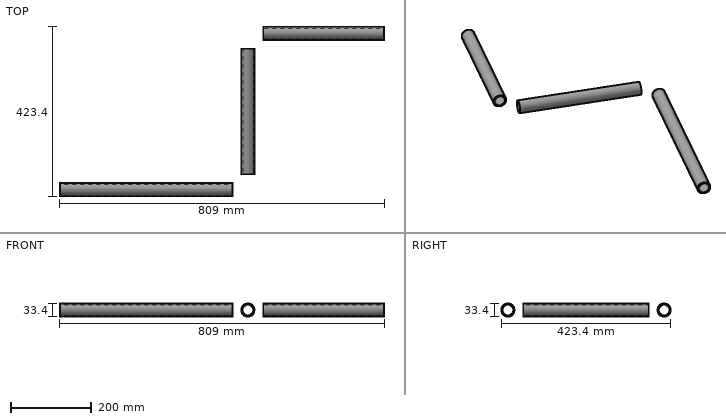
import cadquery as cq

outer_diameter = 33.4
wall = 3.38
inner_diameter = outer_diameter - 2 * wall

first_leg = 469.0
cross_leg = 390.0
last_leg = 340.0
bend_radius = 38.1

first_length = first_leg - bend_radius
cross_length = cross_leg - 2 * bend_radius
last_length = last_leg - bend_radius

along_x = (1, 0, 0)
along_y = (0, 1, 0)


def make_pipe(start, direction, length):
    """Straight tube from the centre of its start face along the given direction."""
    section = cq.Workplane(cq.Plane(origin=start, normal=direction))
    return section.circle(outer_diameter / 2).circle(inner_diameter / 2).extrude(length)


first_pipe = make_pipe((0, 0, 0), along_x, first_length)
cross_pipe = make_pipe((first_leg, bend_radius, 0), along_y, cross_length)
last_pipe = make_pipe((first_leg + bend_radius, cross_leg, 0), along_x, last_length)

result = cq.Compound.makeCompound([first_pipe.val(), cross_pipe.val(), last_pipe.val()])